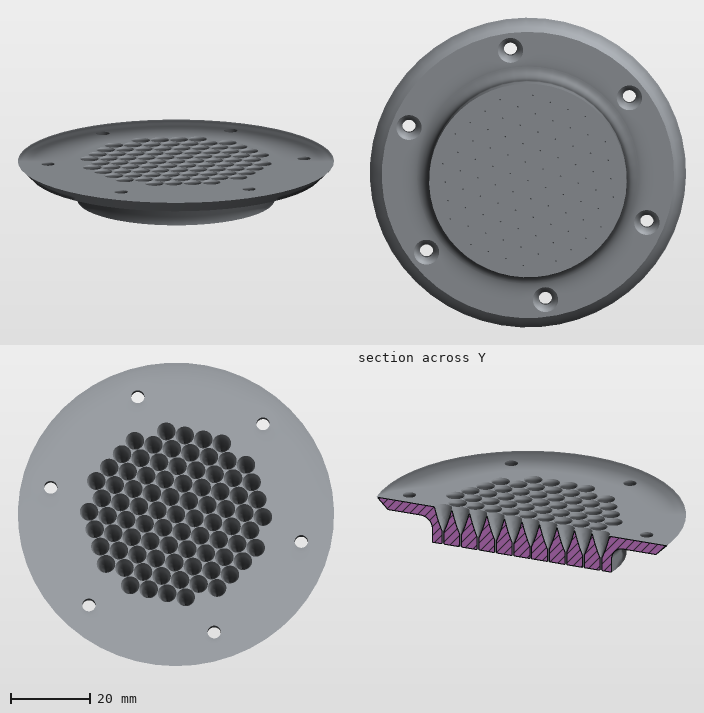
import cadquery as cq
import math

flange_diameter = 80.0
hub_diameter = 50.0
height = 10.0
flange_thickness = 3.0
fillet_radius = 3.0

screw_hole_diameter = 3.4
screw_hole_count = 6
screw_circle_radius = 32.5
countersink_diameter = 6.4

funnel_pitch = 4.8
funnel_field_radius = 22.4
funnel_outlet_diameter = 0.4
funnel_depth = 6.5
funnel_wall_bulge = 0.12
funnel_rim_depth = 1.0
funnel_rim_flare = 0.26
funnel_neck_diameter = 4.2


def make_body():
    """Flange with a 45 degree bevelled rim, blended into a hub below it."""
    flange_radius = flange_diameter / 2
    hub_radius = hub_diameter / 2
    flange_bottom = height - flange_thickness
    profile = (
        cq.Workplane("XZ")
        .lineTo(hub_radius, 0)
        .lineTo(hub_radius, flange_bottom - fillet_radius)
        .radiusArc((hub_radius + fillet_radius, flange_bottom), fillet_radius)
        .lineTo(flange_radius - flange_thickness, flange_bottom)
        .lineTo(flange_radius, height)
        .lineTo(0, height)
        .close()
    )
    return profile.revolve(360, (0, 0, 0), (0, 1, 0))


def make_screw_holes():
    """Ring of through holes with 90 degree countersinks on the flange underside."""
    hole_radius = screw_hole_diameter / 2
    sink_radius = countersink_diameter / 2
    sink_depth = sink_radius - hole_radius
    flange_bottom = height - flange_thickness
    shank = cq.Solid.makeCylinder(hole_radius, flange_thickness, cq.Vector(0, 0, flange_bottom))
    sink = cq.Solid.makeCone(sink_radius, hole_radius, sink_depth, cq.Vector(0, 0, flange_bottom))
    hole = shank.fuse(sink)
    return (
        cq.Workplane("XY")
        .polarArray(screw_circle_radius, 0, 360, screw_hole_count)
        .eachpoint(lambda location: hole.moved(location))
    )


def funnel_centres():
    """Points of the triangular grid that lie inside the funnel field."""
    row_spacing = funnel_pitch * math.sqrt(3) / 2
    last_row = math.ceil(funnel_field_radius / row_spacing)
    last_column = math.ceil(funnel_field_radius / funnel_pitch)
    centres = []
    for row in range(-last_row, last_row + 1):
        row_shift = (row % 2) * funnel_pitch / 2
        for column in range(-last_column - 1, last_column + 1):
            x = column * funnel_pitch + row_shift
            y = row * row_spacing
            if math.hypot(x, y) <= funnel_field_radius:
                centres.append((x, y))
    return centres


def make_funnel():
    """Flared rim, then a slightly bulging wall that narrows to a straight outlet bore."""
    outlet_radius = funnel_outlet_diameter / 2
    neck_radius = funnel_neck_diameter / 2
    mouth_radius = neck_radius + funnel_rim_flare
    profile = (
        cq.Workplane("XZ")
        .lineTo(outlet_radius, 0)
        .lineTo(outlet_radius, height - funnel_depth)
        .sagittaArc((neck_radius, height - funnel_rim_depth), -funnel_wall_bulge)
        .lineTo(mouth_radius, height)
        .lineTo(0, height)
        .close()
    )
    return profile.revolve(360, (0, 0, 0), (0, 1, 0)).val()


def make_funnels():
    """One funnel, open through to the bottom face, at every grid point."""
    funnel = make_funnel()
    return [funnel.translate(cq.Vector(x, y, 0)) for x, y in funnel_centres()]


body = make_body().cut(make_screw_holes())
result = cq.Workplane(body.val().cut(*make_funnels()))